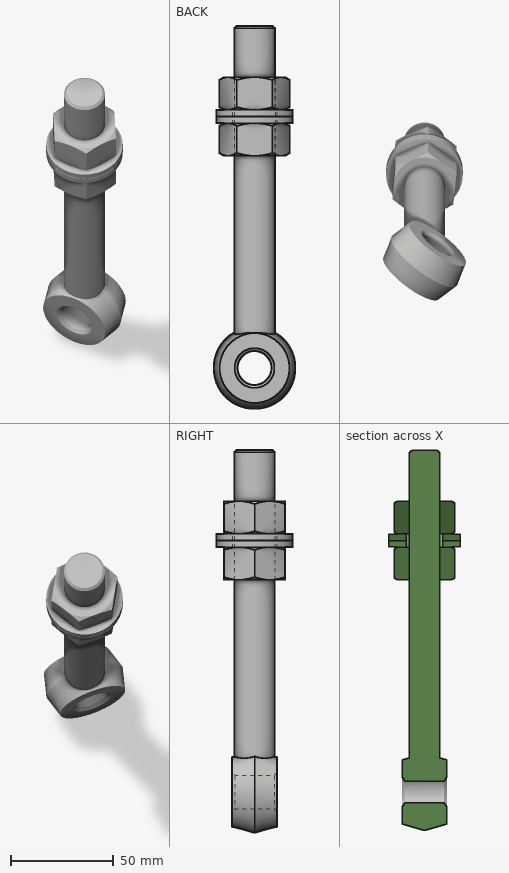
import cadquery as cq
import math

overall_height = 187.0
rod_diameter = 20.0
rod_tip_diameter = 17.5
rod_tip_chamfer = (rod_diameter - rod_tip_diameter) / 2

eye_diameter = 40.0
eye_face_diameter = 34.0
eye_width = 22.0
eye_center_z = eye_diameter / 2
eye_hole_diameter = 16.5
eye_hole_rim_diameter = 19.5

rod_root_z = eye_center_z + (eye_hole_rim_diameter + eye_face_diameter) / 4

nut_flats = 30.0
nut_corners = nut_flats / math.cos(math.pi / 6)
nut_height = 15.9
nut_chamfer_angle = math.radians(30)

washer_diameter = 37.4
washer_bore_diameter = 21.9
washer_thickness = 3.2
washer_count = 2
washer_gap = 0.2
washer_pitch = washer_thickness + washer_gap

tip_above_nut = 25.0
upper_nut_z = overall_height - tip_above_nut - nut_height
washer_stack_z = upper_nut_z - (washer_count - 1) * washer_pitch - washer_thickness
lower_nut_z = washer_stack_z - nut_height


def make_eye():
    """Double-cone ring around the Y axis, its hole countersunk at 45 degrees on both faces."""
    half_width = eye_width / 2
    face_radius = eye_face_diameter / 2
    hole_radius = eye_hole_diameter / 2
    rim_radius = eye_hole_rim_diameter / 2
    countersink_depth = rim_radius - hole_radius
    return (
        cq.Workplane("XY", origin=(0, 0, eye_center_z))
        .polyline([
            (rim_radius, -half_width),
            (face_radius, -half_width),
            (eye_diameter / 2, 0),
            (face_radius, half_width),
            (rim_radius, half_width),
            (hole_radius, half_width - countersink_depth),
            (hole_radius, countersink_depth - half_width),
        ])
        .close()
        .revolve(360, (0, 0), (0, 1))
    )


def make_eye_bolt():
    """Chamfered rod rooted in the ring of the eye, above the eye hole."""
    rod_plane = cq.Plane(origin=(0, 0, rod_root_z), xDir=(0, 1, 0), normal=(0, 0, 1))
    rod = (
        cq.Workplane(rod_plane)
        .circle(rod_diameter / 2)
        .extrude(overall_height - rod_root_z)
        .faces(">Z")
        .chamfer(rod_tip_chamfer)
    )
    return make_eye().union(rod)


def make_nut(base_z):
    """Hexagon nut with corners along X, bored to fit the rod."""
    flat_radius = nut_flats / 2
    corner_radius = nut_corners / 2
    corner_drop = (corner_radius - flat_radius) * math.tan(nut_chamfer_angle)
    corner_cones = (
        cq.Workplane("XZ")
        .polyline([
            (0, 0),
            (flat_radius, 0),
            (corner_radius, corner_drop),
            (corner_radius, nut_height - corner_drop),
            (flat_radius, nut_height),
            (0, nut_height),
        ])
        .close()
        .revolve(360, (0, 0), (0, 1))
    )
    hexagon = (
        cq.Workplane("XY")
        .polygon(6, nut_corners)
        .circle(rod_diameter / 2)
        .extrude(nut_height)
    )
    return hexagon.intersect(corner_cones).translate((0, 0, base_z))


def make_washer(base_z):
    """Flat washer with clearance around the rod."""
    return (
        cq.Workplane("XY", origin=(0, 0, base_z))
        .circle(washer_diameter / 2)
        .circle(washer_bore_diameter / 2)
        .extrude(washer_thickness)
    )


eye_bolt = make_eye_bolt()
nuts = [make_nut(z) for z in (lower_nut_z, upper_nut_z)]
washers = [make_washer(washer_stack_z + i * washer_pitch) for i in range(washer_count)]

result = cq.Compound.makeCompound([
    eye_bolt.val(),
    *[nut.val() for nut in nuts],
    *[washer.val() for washer in washers],
])